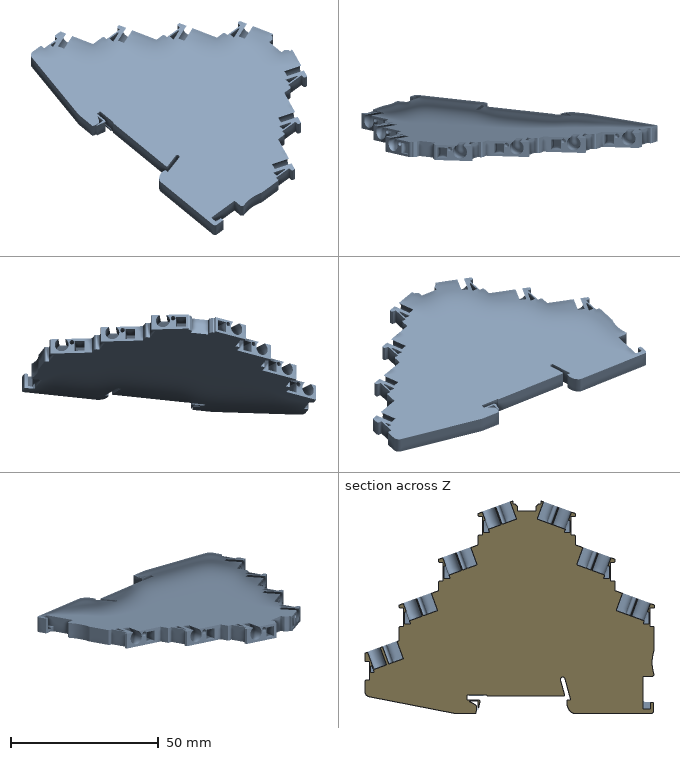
import cadquery as cq
import math

LENGTH = 98.2
HEIGHT = 72.0
THICKNESS = 5.2
FLOOR = 0.8

AXIS_X = 54.9
TIER_RUN = 13.4
TOP_HALF_WIDTH = LENGTH - AXIS_X - 2 * TIER_RUN
SLOPE = math.radians(20)
TOP_TIER_Y = 67.8
LIP_HEIGHT = 1.2
NOTCH_HEIGHT = 6.1
NOTCH_DEPTH = 1.6
EDGE_CHAMFER = 0.4
EDGE_HEIGHT = 3.3
TIER_DROP = LIP_HEIGHT + NOTCH_HEIGHT + EDGE_HEIGHT + TIER_RUN * math.tan(SLOPE)

LOW_LIP_HEIGHT = 2.9
LOW_TIER_RISE = 24.7
LOW_TIER_Y = LOW_TIER_RISE - (AXIS_X - TOP_HALF_WIDTH - 2 * TIER_RUN) * math.tan(SLOPE)
LOW_CORNER_Y = 7.7
RAMP_START = (1.6, 5.7)
LOW_CORNER_RADIUS = (RAMP_START[0] ** 2 + (LOW_CORNER_Y - RAMP_START[1]) ** 2) / (2 * RAMP_START[0])
RAMP_END = (30.2, 0.1)
RAMP_BLEND_MIDDLE = (30.8, 0.03)
BASE_START_X = 31.5

PEAK_RUN = (HEIGHT - TOP_TIER_Y) / math.tan(SLOPE)
PEAK_HALF_GAP = 4.6
GROOVE_HALF_WIDTH = 3.0
GROOVE_FLOOR_Y = 68.6
GROOVE_CORNER_DROP = 0.9
GROOVE_LEDGE_HALF_WIDTH = 4.0
GROOVE_WALL_DROP = 1.9

SIDE_X = 98.0
GRIP_TOP_Y = 21.6
GRIP_BOTTOM_Y = 13.2
GRIP_DEPTH = 0.7
SIDE_CHAMFER = 0.7
SIDE_NOTCH_X = 94.3
SIDE_NOTCH_TOP_Y = 12.5
TAB_X = 97.8
TAB_TOP_Y = 3.9
TAB_CHAMFER = 0.6
TAB_CORNER_RADIUS = 1.0
LATCH_POCKET_LENGTH = 2.4
LATCH_POCKET_DEPTH = 2.3
LATCH_STEP_HEIGHT = 0.6
LATCH_STEP_RISE = 0.4

RAIL_Y = 6.0
FOOT_HEEL_X = 70.7
FOOT_BULGE = (68.9, 1.6)
FOOT_TIP = (68.3, 4.3)
FOOT_TOP = (68.5, 4.7)
SLOT_MOUTH = (69.6, 4.7)
SLOT_OUTER_END = (67.7, 12.0)
SLOT_CROWN = (67.0, 12.4)
SLOT_INNER_END = (66.3, 11.6)
RAIL_CORNER_START = (67.7, 6.7)
RAIL_CORNER_MIDDLE = (67.7, 6.2)
RAIL_CORNER_END_X = 67.3

SEAT_RECESS_END_X = 41.2
SEAT_RECESS_Y = 6.3
LEDGE_START_X = 35.4
LEDGE_LENGTH = 5.0

SPRING_ROOT_X = 34.7
SPRING_TOP_Y = 4.8
SPRING_UNDERSIDE_Y = 4.2
SPRING_BEND = (38.7, 39.2)
SPRING_BEND_DROP = 0.4
SPRING_TIP_Y = 1.3
SPRING_TIP_X = (38.2, 38.5)
SPRING_INNER_X = 38.3
GAP_ROOT_X = 35.5
GAP_KNEE = (37.5, 3.1)
GAP_WALL_X = 38.0
GAP_WALL_TOP_Y = 2.6
FOOT_TOE_X = 37.6

WIRE_RADIUS = 2.4
WIRE_Z = FLOOR + WIRE_RADIUS
WIRE_INSET = 3.6
LOW_WIRE_INSET = 3.1
OPENING_DEPTH = 6.2
MOUTH_CLEARANCE = 1.0
PROBE_RADIUS = 0.8
PROBE_INSET = 6.9
PROBE_Z = 3.9
TOOL_INSET = 9.3
TOOL_WIDTH = 3.3
TOOL_HEIGHT = 3.5

RELIEF_INSET = 2.1
RELIEF_TIP_WIDTH = 0.4
RELIEF_DROP = 2.5
RELIEF_FOOT_DROP = 6.4
LOW_RELIEF_DROP = 4.4
LOW_RELIEF_FOOT_DROP = 6.5


def tier_half_width(tier):
    return TOP_HALF_WIDTH + tier * TIER_RUN


def tier_y(tier):
    return TOP_TIER_Y - tier * TIER_DROP


def notched_edge(edge_x, top_y, foot_y, side, lip=LIP_HEIGHT):
    """Points of one tier edge from its slope down to its foot; side is +1 right, -1 left."""
    inner_x = edge_x - side * NOTCH_DEPTH
    bevel_x = edge_x - side * EDGE_CHAMFER
    notch_top_y = top_y - lip
    notch_bottom_y = notch_top_y - NOTCH_HEIGHT
    return [
        (edge_x, top_y),
        (edge_x, notch_top_y + EDGE_CHAMFER),
        (bevel_x, notch_top_y),
        (inner_x, notch_top_y),
        (inner_x, notch_bottom_y),
        (bevel_x, notch_bottom_y),
        (edge_x, notch_bottom_y - EDGE_CHAMFER),
        (edge_x, foot_y),
    ]


def tier_edges(side):
    """The three stacked tier edges of one side, from top to bottom."""
    points = []
    for tier in range(3):
        top_y = tier_y(tier)
        foot_y = top_y - LIP_HEIGHT - NOTCH_HEIGHT - EDGE_HEIGHT
        points += notched_edge(AXIS_X + side * tier_half_width(tier), top_y, foot_y, side)
    return points


def left_tiers():
    points = tier_edges(-1)
    points[-1] = (points[-1][0], LOW_TIER_RISE)
    return points + notched_edge(0, LOW_TIER_Y, LOW_CORNER_Y, -1, LOW_LIP_HEIGHT)


def right_tiers():
    """The last edge stops at the grip and stands slightly behind its lip."""
    points = tier_edges(1)
    bevel_foot_y = points[-2][1]
    return points[:-2] + [(SIDE_X, bevel_foot_y), (SIDE_X, GRIP_TOP_Y)]


def peak(side):
    """One peak and one groove wall, from the slope towards the groove."""
    return [
        (AXIS_X + side * (TOP_HALF_WIDTH - PEAK_RUN), HEIGHT),
        (AXIS_X + side * PEAK_HALF_GAP, HEIGHT),
        (AXIS_X + side * PEAK_HALF_GAP, HEIGHT - GROOVE_CORNER_DROP),
        (AXIS_X + side * GROOVE_LEDGE_HALF_WIDTH, HEIGHT - GROOVE_CORNER_DROP),
        (AXIS_X + side * GROOVE_HALF_WIDTH, HEIGHT - GROOVE_WALL_DROP),
        (AXIS_X + side * GROOVE_HALF_WIDTH, GROOVE_FLOOR_Y),
    ]


def housing():
    outline = cq.Workplane("XY").polyline(
        list(reversed(left_tiers())) + peak(-1) + list(reversed(peak(1))) + right_tiers()
    )
    grip_middle = (SIDE_X - GRIP_DEPTH, (GRIP_TOP_Y + GRIP_BOTTOM_Y) / 2)
    outline = (
        outline.threePointArc(grip_middle, (SIDE_X, GRIP_BOTTOM_Y))
        .lineTo(SIDE_X - SIDE_CHAMFER, SIDE_NOTCH_TOP_Y)
        .lineTo(SIDE_NOTCH_X, SIDE_NOTCH_TOP_Y)
        .lineTo(SIDE_NOTCH_X, TAB_TOP_Y + TAB_CHAMFER)
        .lineTo(SIDE_NOTCH_X + TAB_CHAMFER, TAB_TOP_Y)
        .lineTo(TAB_X, TAB_TOP_Y)
        .lineTo(TAB_X, TAB_CORNER_RADIUS)
        .radiusArc((TAB_X - TAB_CORNER_RADIUS, 0), TAB_CORNER_RADIUS)
    )
    outline = (
        outline.lineTo(FOOT_HEEL_X, 0)
        .threePointArc(FOOT_BULGE, FOOT_TIP)
        .lineTo(*FOOT_TOP)
        .lineTo(*SLOT_MOUTH)
        .lineTo(*SLOT_OUTER_END)
        .threePointArc(SLOT_CROWN, SLOT_INNER_END)
        .lineTo(*RAIL_CORNER_START)
        .threePointArc(RAIL_CORNER_MIDDLE, (RAIL_CORNER_END_X, RAIL_Y))
        .lineTo(SEAT_RECESS_END_X, RAIL_Y)
        .lineTo(SEAT_RECESS_END_X, SEAT_RECESS_Y)
        .lineTo(SPRING_ROOT_X, SEAT_RECESS_Y)
    )
    outline = (
        outline.lineTo(SPRING_ROOT_X, SPRING_TOP_Y)
        .lineTo(SPRING_BEND[0], SPRING_TOP_Y)
        .lineTo(SPRING_BEND[1], SPRING_TOP_Y - SPRING_BEND_DROP)
        .lineTo(SPRING_TIP_X[1], SPRING_TIP_Y)
        .lineTo(SPRING_TIP_X[0], SPRING_TIP_Y)
        .lineTo(SPRING_INNER_X, SPRING_UNDERSIDE_Y)
        .lineTo(GAP_ROOT_X, SPRING_UNDERSIDE_Y)
        .lineTo(*GAP_KNEE)
        .lineTo(GAP_WALL_X, GAP_WALL_TOP_Y)
        .lineTo(GAP_WALL_X, SPRING_TIP_Y)
        .lineTo(FOOT_TOE_X, 0)
        .lineTo(BASE_START_X, 0)
        .threePointArc(RAMP_BLEND_MIDDLE, RAMP_END)
        .lineTo(*RAMP_START)
        .radiusArc((0, LOW_CORNER_Y), LOW_CORNER_RADIUS)
        .close()
    )
    return outline.extrude(THICKNESS)


def slope_plane(edge_x, top_y, side, inset):
    """Plane at the bottom of an opening, normal pointing out of the slope, X axis along Z."""
    outward = (side * math.sin(SLOPE), math.cos(SLOPE), 0)
    origin = (
        edge_x - side * inset - OPENING_DEPTH * outward[0],
        top_y + inset * math.tan(SLOPE) - OPENING_DEPTH * outward[1],
        0,
    )
    return cq.Plane(origin=origin, xDir=(0, 0, 1), normal=outward)


def round_opening(plane, z, radius):
    return cq.Workplane(plane).center(z, 0).circle(radius).extrude(OPENING_DEPTH + MOUTH_CLEARANCE)


def contact_cuts(edge_x, top_y, side, wire_inset, relief_drop, relief_foot_drop):
    """Wire, probe and tool openings of one contact and the relief beside its notch."""
    wire = round_opening(slope_plane(edge_x, top_y, side, wire_inset), WIRE_Z, WIRE_RADIUS)
    probe = round_opening(slope_plane(edge_x, top_y, side, PROBE_INSET), PROBE_Z, PROBE_RADIUS)
    tool = (
        cq.Workplane(slope_plane(edge_x, top_y, side, TOOL_INSET))
        .center(FLOOR + TOOL_HEIGHT / 2, 0)
        .rect(TOOL_HEIGHT, TOOL_WIDTH)
        .extrude(OPENING_DEPTH + MOUTH_CLEARANCE)
    )
    near_x = edge_x - side * RELIEF_INSET
    tip_x = near_x - side * RELIEF_TIP_WIDTH
    foot_x = tip_x - side * (relief_foot_drop - relief_drop) * math.tan(SLOPE)
    relief = (
        cq.Workplane("XY", origin=(0, 0, FLOOR))
        .polyline([
            (near_x, top_y - relief_drop),
            (tip_x, top_y - relief_drop),
            (foot_x, top_y - relief_foot_drop),
            (near_x, top_y - relief_foot_drop),
        ])
        .close()
        .extrude(THICKNESS)
    )
    return [wire, probe, tool, relief]


def latch_pocket():
    """Pocket beside the tab, open at the top face, with a sloped step along the side notch wall."""
    bottom_y = TAB_TOP_Y - LATCH_POCKET_DEPTH
    step_x = SIDE_NOTCH_X + TAB_CHAMFER
    end_x = SIDE_NOTCH_X + LATCH_POCKET_LENGTH
    return (
        cq.Workplane("XZ", origin=(0, bottom_y, 0))
        .polyline([
            (SIDE_NOTCH_X, FLOOR + LATCH_STEP_HEIGHT + LATCH_STEP_RISE),
            (step_x, FLOOR + LATCH_STEP_HEIGHT),
            (step_x, FLOOR),
            (end_x, FLOOR),
            (end_x, THICKNESS),
            (SIDE_NOTCH_X, THICKNESS),
        ])
        .close()
        .extrude(-LATCH_POCKET_DEPTH - TAB_CHAMFER)
    )


def seat_ledge():
    size = (LEDGE_LENGTH, SEAT_RECESS_Y - RAIL_Y, FLOOR)
    return cq.Workplane("XY").box(*size, centered=False).translate((LEDGE_START_X, RAIL_Y, 0))


cuts = [latch_pocket()]
cuts += contact_cuts(0, LOW_TIER_Y, -1, LOW_WIRE_INSET, LOW_RELIEF_DROP, LOW_RELIEF_FOOT_DROP)
for side in (-1, 1):
    for tier in range(3):
        edge_x = AXIS_X + side * tier_half_width(tier)
        cuts += contact_cuts(edge_x, tier_y(tier), side, WIRE_INSET, RELIEF_DROP, RELIEF_FOOT_DROP)

result = housing().union(seat_ledge())
for cut in cuts:
    result = result.cut(cut)